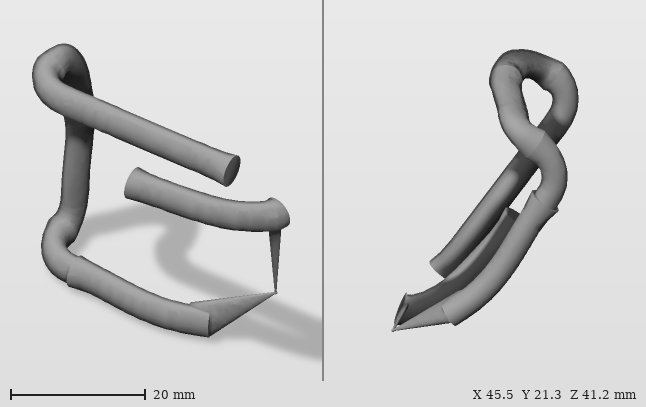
import cadquery as cq
import math

wire_diameter = 5.0
waist_diameter = 3.9
wire_radius = wire_diameter / 2
flare_length = 3.2
section_pitch = 2.27

column_x = wire_radius
bottom_z = wire_radius
overall_height = 41.15
top_z = overall_height - wire_radius
top_end_x, top_end_y = 37.0, 4.8
clip_z = 30.4
clip_start_x = 21.25
joint_y, joint_z = 18.77, 21.7
top_corner_y = 10.0
top_y = 5.15
bottom_corner_y = 13.35
seam_x, seam_y = 8.75, 6.8

tip = cq.Vector(40.8, 11.2, 10.25)
tip_radius = 0.15
bottom_spike_base = cq.Vector(30, 7.5, bottom_z)
bottom_spike_normal = cq.Vector(1, 0.4, 0.8)
bottom_spike_wide_axis = cq.Vector(-0.8, 0, 1)
bottom_spike_wide, bottom_spike_narrow = 6.1, 2.95
clip_spike_base = cq.Vector(42.55, 7.9, clip_z - 0.9)
clip_spike_wide, clip_spike_narrow = 2.55, 0.9

X_AXIS = cq.Vector(1, 0, 0)
Z_AXIS = cq.Vector(0, 0, 1)


def ellipse_wire(center, normal, wide_axis, wide, narrow):
    """Closed ellipse with full widths `wide` (along wide_axis) and `narrow`."""
    return cq.Wire.makeEllipse(wide / 2, narrow / 2, center, normal, wide_axis, closed=True)


def width_at(distance, length, flare_start, flare_end):
    """Narrow width along a segment: round at flared ends, waisted between."""
    gap = flare_length
    if flare_start:
        gap = min(gap, distance)
    if flare_end:
        gap = min(gap, length - distance)
    blend = (1 + math.cos(math.pi * gap / flare_length)) / 2
    return waist_diameter + (wire_diameter - waist_diameter) * blend


def tube(points, start_direction, end_direction, bend_axis, wide_in_bend=False,
         flare_start=True, flare_end=True):
    """Loft of ellipses along a planar spline whose plane is normal to bend_axis."""
    path = cq.Edge.makeSpline(
        [cq.Vector(*point) for point in points],
        tangents=[cq.Vector(*start_direction), cq.Vector(*end_direction)],
    )
    length = path.Length()
    steps = math.ceil(length / section_pitch)
    sections = []
    for step in range(steps + 1):
        fraction = step / steps
        tangent = path.tangentAt(fraction)
        wide_axis = tangent.cross(bend_axis) if wide_in_bend else bend_axis
        narrow = width_at(fraction * length, length, flare_start, flare_end)
        center = path.positionAt(fraction)
        sections.append(ellipse_wire(center, tangent, wide_axis, wire_diameter, narrow))
    return cq.Workplane(cq.Solid.makeLoft(sections))


def spike(base_center, base_normal, wide_axis, wide, narrow):
    """Straight taper from an elliptical base to the shared tip."""
    base = ellipse_wire(base_center, base_normal, wide_axis, wide, narrow)
    end = ellipse_wire(tip, base_normal, wide_axis, 2 * tip_radius, 2 * tip_radius)
    return cq.Workplane(cq.Solid.makeLoft([base, end], True))


top_bend = tube(
    [(column_x, top_corner_y, top_z), (3.95, 6.65, top_z), (seam_x, top_y, top_z)],
    (0, -1, 0), (1, 0, 0), Z_AXIS, flare_end=False,
)
top_wire = tube(
    [(seam_x, top_y, top_z), (top_end_x, top_end_y, top_z)],
    (1, 0, 0), (1, 0, 0), Z_AXIS, flare_start=False,
)

upper_column = tube(
    [(column_x, joint_y, joint_z), (column_x, 18.05, 27.28), (column_x, 17.05, 31.6),
     (column_x, 15, 35.7), (column_x, top_corner_y, top_z)],
    (0, 0, 1), (0, -1, 0), X_AXIS, wide_in_bend=True,
)
lower_column = tube(
    [(column_x, joint_y, joint_z), (column_x, 18.1, 14.5), (column_x, 17.35, 9.1),
     (column_x, 16.35, 4.1), (column_x, bottom_corner_y, bottom_z)],
    (0, 0, -1), (0, -1, 0), X_AXIS, wide_in_bend=True,
)

bottom_bend = tube(
    [(column_x, bottom_corner_y, bottom_z), (4.05, 8.75, bottom_z), (seam_x, seam_y, bottom_z)],
    (0, -1, 0), (1, 0, 0), Z_AXIS, flare_end=False,
)
bottom_wire = tube(
    [(seam_x, seam_y, bottom_z), (20, 5.8, bottom_z), (27.28, 6.27, bottom_z), (31.65, 7.65, bottom_z)],
    (1, 0, 0), (1, 0.35, 0), Z_AXIS, flare_end=False,
)

clip_wire = tube(
    [(clip_start_x, wire_radius, clip_z), (30.45, 2.95, clip_z), (37.28, 4.05, clip_z),
     (41.0, 5.8, clip_z), (43.05, 8.15, clip_z)],
    (1, 0, 0), (0.25, 1, 0), Z_AXIS,
)

bottom_spike = spike(bottom_spike_base, bottom_spike_normal, bottom_spike_wide_axis,
                     bottom_spike_wide, bottom_spike_narrow)
clip_spike = spike(clip_spike_base, Z_AXIS, X_AXIS, clip_spike_wide, clip_spike_narrow)
spike_tip = cq.Workplane().sphere(2 * tip_radius).translate(tip.toTuple())

result = top_wire
for piece in (top_bend, upper_column, lower_column, bottom_bend, bottom_wire, clip_wire,
              bottom_spike, clip_spike, spike_tip):
    result = result.union(piece)